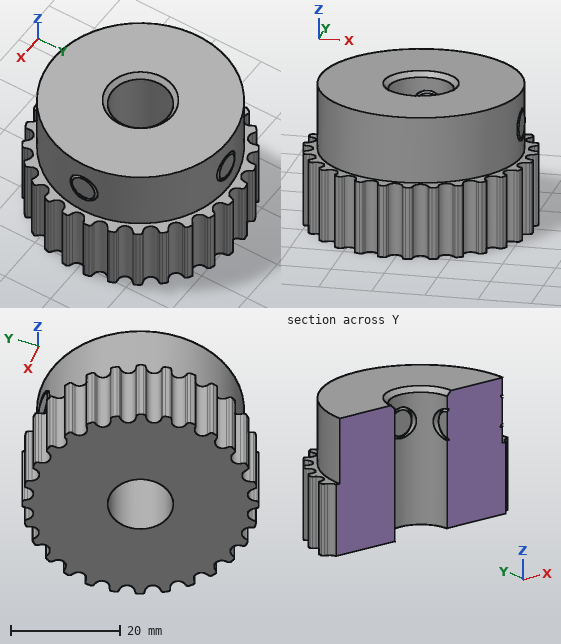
import cadquery as cq
import math

tip_radius = 21.7
total_height = 26.6
tooth_height = 13.9
hub_radius = 19.0
hub_height = total_height - tooth_height

tooth_count = 28
groove_root_radius = 19.8
groove_radius = 1.43
flank_slope = 20.0
tip_rounding = 0.48

bore_radius = 6.0
bore_chamfer = 0.95

screw_diameter = 6.0
screw_end_chamfer = 0.5
screw_z = 20.1
screw_angles = (0, 90)


def polar(radius, angle, center_x=0, center_y=0):
    """Point at a distance and direction (radians) from a centre."""
    return (center_x + radius * math.cos(angle), center_y + radius * math.sin(angle))


def mirrored(point):
    """The point reflected across the X axis."""
    return (point[0], -point[1])


def turned(shape, angle):
    """The shape rotated about Z by an angle in degrees."""
    return shape.rotate((0, 0, 0), (0, 0, 1), angle)


def groove_cutter():
    """Prism that cuts the groove centred on +X and rounds the tooth corners beside it."""
    groove_center_x = groove_root_radius + groove_radius
    flank_angle = math.radians(flank_slope)
    flank_normal = flank_angle + math.pi / 2
    flank_start = polar(groove_radius, flank_normal, groove_center_x)

    center_distance = tip_radius - tip_rounding
    across_flank = groove_radius + tip_rounding - groove_center_x * math.sin(flank_angle)
    tip_angle = flank_angle + math.asin(across_flank / center_distance)
    corner_center = polar(center_distance, tip_angle)
    arc_start_angle = flank_angle - math.pi / 2
    flank_end = polar(tip_rounding, arc_start_angle, *corner_center)
    corner_middle = polar(tip_rounding, (arc_start_angle + tip_angle) / 2, *corner_center)
    tip_point = polar(tip_radius, tip_angle)
    outer_point = (tip_radius + tip_rounding, tip_point[1])
    return (
        cq.Workplane("XY")
        .moveTo(*mirrored(outer_point))
        .lineTo(*mirrored(tip_point))
        .threePointArc(mirrored(corner_middle), mirrored(flank_end))
        .lineTo(*mirrored(flank_start))
        .threePointArc((groove_root_radius, 0), flank_start)
        .lineTo(*flank_end)
        .threePointArc(corner_middle, tip_point)
        .lineTo(*outer_point)
        .close()
        .extrude(tooth_height)
    )


def toothed_rim():
    """Disc with evenly spaced grooves, one of them on +X."""
    rim = cq.Workplane("XY").circle(tip_radius).extrude(tooth_height)
    cutter = groove_cutter()
    for i in range(tooth_count):
        rim = rim.cut(turned(cutter, i * 360 / tooth_count))
    return rim


def bore():
    """Through bore widened by a 45-degree cone at the hub face."""
    mouth_radius = bore_radius + bore_chamfer
    return (
        cq.Workplane("XZ")
        .lineTo(bore_radius, 0)
        .lineTo(bore_radius, total_height - bore_chamfer)
        .lineTo(mouth_radius, total_height)
        .lineTo(0, total_height)
        .close()
        .revolve(360, (0, 0, 0), (0, 1, 0))
    )


def radial_cylinder(start_x, length):
    """Cylinder of the screw diameter along +X at screw height."""
    return (
        cq.Workplane("YZ", origin=(start_x, 0, screw_z))
        .circle(screw_diameter / 2)
        .extrude(length)
    )


hub = cq.Workplane("XY", origin=(0, 0, tooth_height)).circle(hub_radius).extrude(hub_height)
screw_hole = radial_cylinder(0, hub_radius)
set_screw = (
    radial_cylinder(bore_radius, hub_radius - bore_radius)
    .faces("<X or >X")
    .chamfer(screw_end_chamfer)
)

result = toothed_rim().union(hub).cut(bore())
for angle in screw_angles:
    result = result.cut(turned(screw_hole, angle)).union(turned(set_screw, angle))